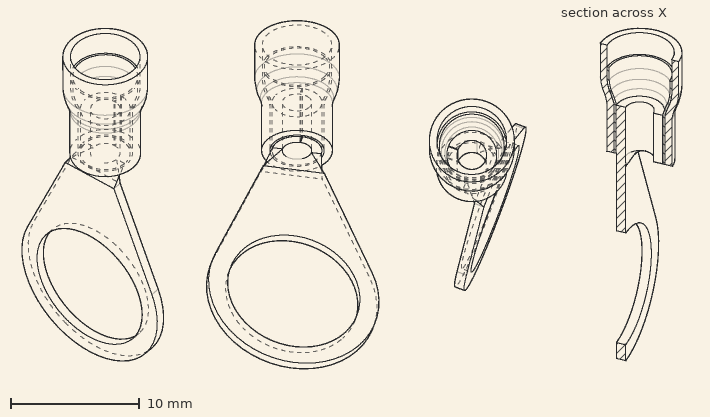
import cadquery as cq
import math

total_height = 29.3
sleeve_bottom = 19.28
tongue_top = 18.28

sleeve_wide_diameter = 6.6
sleeve_wide_radius = sleeve_wide_diameter / 2
sleeve_narrow_radius = 2.75
cone_top = 25.58
cone_bottom = 24.05
shoulder_radius = 3.25
throat_radius = 1.5

liner_top = 27.25
liner_wide_radius = 2.7
liner_narrow_radius = 2.1
liner_wall = 0.18
sleeve_wall = sleeve_wide_radius - liner_wide_radius

barrel_radius = liner_narrow_radius - liner_wall
barrel_bore_radius = 1.15
barrel_top = 23.85
seam_width = 0.05
plate_thickness = barrel_radius - barrel_bore_radius
plate_front = -barrel_radius
plate_back = plate_front + plate_thickness
ring_radius = 6.77
ring_hole_radius = 5.25
tongue_half_width = 2.43


def stepped_plug(wide_radius, narrow_radius, bottom, top, shoulder, throat):
    """Solid of revolution: two cylinders joined by a cone with rounded ends."""
    profile = [
        (0, bottom),
        (narrow_radius, bottom),
        (narrow_radius, cone_bottom),
        (wide_radius, cone_top),
        (wide_radius, top),
        (0, top),
    ]
    plug = cq.Workplane("XZ").polyline(profile).close().revolve(360, (0, 0), (0, 1))

    def circle_at(height):
        margin = 0.003
        reach = 2 * wide_radius
        return cq.selectors.BoxSelector(
            (-reach, -reach, height - margin), (reach, reach, height + margin)
        )

    plug = plug.edges(circle_at(cone_top)).fillet(shoulder)
    return plug.edges(circle_at(cone_bottom)).fillet(throat)


def liner_envelope(top):
    """Outer shape of the liner, which is also the bore of the sleeve."""
    return stepped_plug(
        liner_wide_radius, liner_narrow_radius, sleeve_bottom, top,
        shoulder_radius - sleeve_wall, throat_radius + sleeve_wall,
    )


def make_sleeve():
    outside = stepped_plug(
        sleeve_wide_radius, sleeve_narrow_radius, sleeve_bottom, total_height,
        shoulder_radius, throat_radius,
    )
    return outside.cut(liner_envelope(total_height))


def make_liner():
    inset = sleeve_wall + liner_wall
    inside = stepped_plug(
        liner_wide_radius - liner_wall, barrel_radius, sleeve_bottom, liner_top,
        shoulder_radius - inset, throat_radius + inset,
    )
    return liner_envelope(liner_top).cut(inside)


def make_barrel():
    """Rolled tube with a narrow butt seam on its +Y side."""
    height = barrel_top - sleeve_bottom
    tube = (
        cq.Workplane("XY", origin=(0, 0, sleeve_bottom))
        .circle(barrel_radius)
        .circle(barrel_bore_radius)
        .extrude(height)
    )
    seam = (
        cq.Workplane("XY", origin=(0, barrel_radius, sleeve_bottom))
        .rect(seam_width, barrel_radius)
        .extrude(height)
    )
    return tube.cut(seam)


def make_neck():
    """Transition from the -Y half of the barrel wall to the flat tongue."""
    def half_ring(radius, z):
        return cq.Edge.makeThreePointArc(
            cq.Vector(-radius, 0, z), cq.Vector(0, -radius, z), cq.Vector(radius, 0, z)
        )

    def cross_line(y):
        return cq.Edge.makeLine(
            cq.Vector(-tongue_half_width, y, tongue_top),
            cq.Vector(tongue_half_width, y, tongue_top),
        )

    def end_line(line_a, line_b, at_end):
        return cq.Edge.makeLine(line_a.positionAt(at_end), line_b.positionAt(at_end))

    outer_arc = half_ring(barrel_radius, sleeve_bottom)
    inner_arc = half_ring(barrel_bore_radius, sleeve_bottom)
    front_line = cross_line(plate_front)
    back_line = cross_line(plate_back)

    faces = []
    edge_pairs = [
        (outer_arc, front_line),
        (inner_arc, back_line),
        (outer_arc, inner_arc),
        (front_line, back_line),
    ]
    for at_end in (0, 1):
        edge_pairs.append(
            (end_line(outer_arc, inner_arc, at_end), end_line(front_line, back_line, at_end))
        )
    for first_edge, second_edge in edge_pairs:
        faces.append(cq.Face.makeRuledSurface(first_edge, second_edge))
    neck = cq.Solid.makeSolid(cq.Shell.makeShell(faces))
    return cq.Workplane(neck.fix())


def make_plate():
    """Flat ring with straight sides tangent to it, narrowing to the neck."""
    rise = tongue_top - ring_radius
    corner_distance = math.hypot(tongue_half_width, rise)
    corner_angle = math.atan2(rise, tongue_half_width)
    tangent_angle = corner_angle - math.acos(ring_radius / corner_distance)
    tangent_x = ring_radius * math.cos(tangent_angle)
    tangent_z = ring_radius + ring_radius * math.sin(tangent_angle)
    plate = (
        cq.Workplane("XZ", origin=(0, plate_back, 0))
        .moveTo(-tongue_half_width, tongue_top)
        .lineTo(tongue_half_width, tongue_top)
        .lineTo(tangent_x, tangent_z)
        .threePointArc((0, 0), (-tangent_x, tangent_z))
        .close()
        .extrude(plate_thickness)
    )
    hole = (
        cq.Workplane("XZ", origin=(0, plate_back, 0))
        .center(0, ring_radius)
        .circle(ring_hole_radius)
        .extrude(plate_thickness)
    )
    return plate.cut(hole)


def make_terminal():
    return make_barrel().union(make_neck()).union(make_plate())


sleeve = make_sleeve()
liner = make_liner()
terminal = make_terminal()

result = cq.Compound.makeCompound(
    [*sleeve.vals(), *liner.vals(), *terminal.vals()]
)